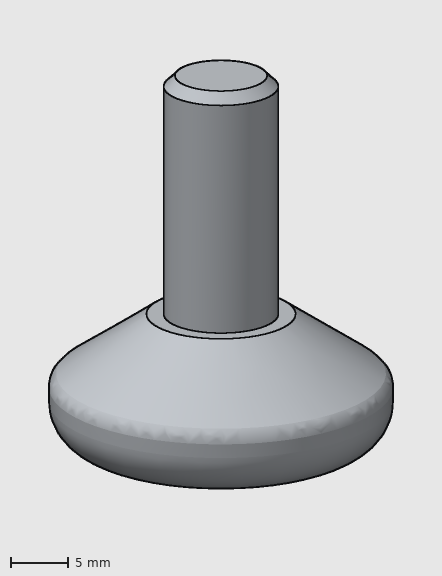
import cadquery as cq
import math

total_height = 34.0
foot_diameter = 30.0
foot_height = 12.0
collar_diameter = 13.0
cone_angle = 35.0
bottom_rounding = 4.0
shoulder_rounding = 1.5
stud_diameter = 10.0
stud_chamfer = 1.0

foot_radius = foot_diameter / 2
collar_radius = collar_diameter / 2
cone_drop = (foot_radius - collar_radius) * math.tan(math.radians(cone_angle))
shoulder_height = foot_height - cone_drop


def make_foot():
    """Round foot: cylindrical rim with a conical top, revolved about Z."""
    profile = [
        (0, 0),
        (foot_radius, 0),
        (foot_radius, shoulder_height),
        (collar_radius, foot_height),
        (0, foot_height),
    ]
    foot = cq.Workplane("XZ").polyline(profile).close().revolve(360, (0, 0), (0, 1))
    rim_middle = shoulder_height / 2
    shoulder_edge = cq.selectors.BoxSelector(
        (-foot_diameter, -foot_diameter, rim_middle),
        (foot_diameter, foot_diameter, (shoulder_height + foot_height) / 2),
    )
    foot = foot.edges("%CIRCLE").edges(shoulder_edge).fillet(shoulder_rounding)
    return foot.faces("<Z").edges().fillet(bottom_rounding)


def make_stud():
    """Plain stud with a chamfered tip, running up from the foot's base plane."""
    stud = cq.Workplane("XY").circle(stud_diameter / 2).extrude(total_height)
    return stud.faces(">Z").edges().chamfer(stud_chamfer)


result = make_foot().union(make_stud())